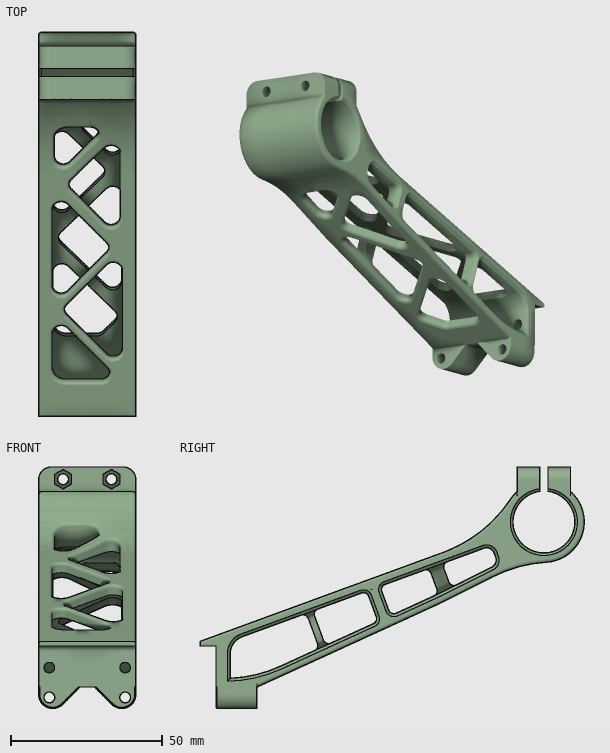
import cadquery as cq
import math


WIDTH = 32.25
HALF_WIDTH = WIDTH / 2
LENGTH = 127.21
HEIGHT = 80.02

RING_RADIUS = 13.4
BORE_RADIUS = 10.2
BORE_CHAMFER = 0.9
EAR_TOP = 18.25
EAR_BOTTOM = 8.8
EAR_HALF_DEPTH = 8.85
EAR_CORNER_RADIUS = 4.25
CLAMP_GAP = 2.6
SCREW_DIAMETER = 3.5
CLAMP_SCREW_X = 8.0
CLAMP_SCREW_Z = EAR_TOP - 4.1
NUT_CORNER_DIAMETER = 6.5
NUT_DEPTH = 2.5

TIP_Y = RING_RADIUS - LENGTH
TIP_TOP_Z = -39.5
TIP_BOTTOM_Z = -41.1
TOP_ANGLE = 20.1
BOTTOM_ANGLE = 24.6
BOTTOM_UPPER_ANGLE = 26.6
BOTTOM_BEND_Y = -34.9
BLEND_RADIUS = 45.0
EDGE_FILLET = 1.0

BLOCK_BACK_Y = -95.0
BLOCK_FACE_Y = -108.6
BLOCK_BOTTOM_Z = EAR_TOP - HEIGHT
ARM_BOTTOM_END_Z = -54.7
LOBE_RADIUS = 4.7
NOTCH_TOP_Z = -54.7
BLOCK_HOLE_X = 12.55
LOWER_HOLE_Z = -58.1
UPPER_HOLE_Z = -48.2
FACE_CHAMFER = 0.4

TOP_WALL = 3.4
BOTTOM_WALL = 3.1
CAVITY_HALF_WIDTH = 11.6
CAVITY_UPPER_END = 101.4
CAVITY_UPPER_RADIUS = 2.6
CAVITY_END_Y = -103.8
CAVITY_END_BOTTOM_Z = -51.7
CAVITY_CURVE_Y = -87.3
CAVITY_LOWER_RADIUS = 6.0
SIDE_WINDOW_RADIUS = 1.8
SIDE_WINDOW_CHAMFER = 1.0
PILLARS = {-1: [(36.2, 38.5), (79.5, 84.1)], 1: [(57.5, 62.2)]}

BAR_SLOPE = 1.06
WINDOW_RADIUS = 3.0
END_CORNER_RADIUS = 4.5
WINDOW_FILLET = 1.1
TOP_WINDOW_DEPTH = 4.4
BOTTOM_WINDOW_DEPTH = 4.5
TOP_BARS = [(91.7, 1, 2.1), (70.5, -1, 2.0), (48.1, 1, 1.3), (25.8, -1, 1.3)]
TOP_WINDOW_ENDS = (103.0, 11.8)
TOP_SIDES = [-10.9, 10.9, -11.6, 11.6, -11.6]
BOTTOM_BARS = [(80.4, -1, 2.2), (59.7, 1, 1.9), (31.5, -1, 1.9), (2.5, 1, 1.9)]
BOTTOM_WINDOW_ENDS = (89.8, 10.0)
BOTTOM_SIDES = [11.4, -11.4, 11.4, -11.4]
CUT_CLEARANCE = 25.0
SAME_PLACE = 0.01


def direction(angle):
    return cq.Vector(0, math.cos(math.radians(angle)), math.sin(math.radians(angle)))


TOP_ALONG = direction(TOP_ANGLE)
TOP_UP = direction(TOP_ANGLE + 90)
TOP_POINT = cq.Vector(0, TIP_Y, TIP_TOP_Z)
BOTTOM_ALONG = direction(BOTTOM_ANGLE)
BOTTOM_DOWN = direction(BOTTOM_ANGLE - 90)
BOTTOM_POINT = cq.Vector(0, BLOCK_BACK_Y, ARM_BOTTOM_END_Z)
BEND_ALONG = direction(BOTTOM_UPPER_ANGLE)
BEND_DOWN = direction(BOTTOM_UPPER_ANGLE - 90)
X_AXIS = cq.Vector(1, 0, 0)


def yz(point):
    return (point.y, point.z)


def at_y(point, along, y):
    """The point at a given Y on the sloping line through a point."""
    return point + along * ((y - point.y) / along.y)


BEND_POINT = at_y(BOTTOM_POINT, BOTTOM_ALONG, BOTTOM_BEND_Y)


def blend(point, along, outward, radius):
    """Contact points of the arc that blends the clamp ring into a straight wall surface."""
    wall_distance = point.dot(outward)
    reach = -math.sqrt((RING_RADIUS + radius) ** 2 - (wall_distance + radius) ** 2)
    center = along * reach + outward * (wall_distance + radius)
    on_wall = center - outward * radius
    on_ring = center.normalized() * RING_RADIUS
    middle = center + ((on_wall + on_ring) * 0.5 - center).normalized() * radius
    return on_wall, middle, on_ring


TOP_BLEND = blend(TOP_POINT, TOP_ALONG, TOP_UP, BLEND_RADIUS)
BOTTOM_BLEND = blend(BEND_POINT, BEND_ALONG, BEND_DOWN, BLEND_RADIUS)


def extruded(profile, half_width):
    return profile.extrude(half_width, both=True)


def make_arm():
    top_wall, top_middle, top_ring = TOP_BLEND
    bottom_wall, bottom_middle, bottom_ring = BOTTOM_BLEND
    beyond_tip = TOP_POINT - TOP_ALONG * EDGE_FILLET
    profile = (
        cq.Workplane("YZ")
        .moveTo(*yz(beyond_tip))
        .lineTo(*yz(top_wall))
        .threePointArc(yz(top_middle), yz(top_ring))
        .threePointArc((RING_RADIUS, 0), yz(bottom_ring))
        .threePointArc(yz(bottom_middle), yz(bottom_wall))
        .lineTo(*yz(BEND_POINT))
        .lineTo(BLOCK_BACK_Y, ARM_BOTTOM_END_Z)
        .lineTo(BLOCK_FACE_Y, ARM_BOTTOM_END_Z)
        .lineTo(BLOCK_FACE_Y, TIP_BOTTOM_Z)
        .lineTo(beyond_tip.y, TIP_BOTTOM_Z)
        .close()
    )
    arm = extruded(profile, HALF_WIDTH)
    outline = arm.faces("<X or >X").edges().filter(on_smooth_outline)
    arm = arm.newObject(outline.vals()).fillet(EDGE_FILLET)
    trim = cq.Workplane("XY").box(WIDTH, CUT_CLEARANCE, CUT_CLEARANCE)
    return arm.cut(trim.translate((0, TIP_Y - CUT_CLEARANCE / 2, TIP_TOP_Z)))


def on_smooth_outline(edge):
    """True for the top, clamp ring and lower edges, but not for the mounting end."""
    at = edge.positionAt(0.5)
    return at.y > BLOCK_BACK_Y and at.z > ARM_BOTTOM_END_Z


def make_block():
    lobe_x = HALF_WIDTH - LOBE_RADIUS
    lobe_z = BLOCK_BOTTOM_Z + LOBE_RADIUS
    diagonal = LOBE_RADIUS * math.sqrt(0.5)
    foot_x = lobe_x - diagonal
    foot_z = lobe_z - diagonal
    notch_x = foot_x - (NOTCH_TOP_Z - foot_z)
    outline = (
        cq.Workplane("XZ", origin=(0, BLOCK_FACE_Y, 0))
        .moveTo(0, TIP_BOTTOM_Z)
        .lineTo(HALF_WIDTH, TIP_BOTTOM_Z)
        .lineTo(HALF_WIDTH, lobe_z)
        .radiusArc((foot_x, foot_z), LOBE_RADIUS)
        .lineTo(notch_x, NOTCH_TOP_Z)
        .lineTo(0, NOTCH_TOP_Z)
        .mirrorY()
    )
    block = outline.extrude(BLOCK_FACE_Y - BLOCK_BACK_Y)
    block = block.faces("<Y").edges("not >Z").chamfer(FACE_CHAMFER)
    arm_side = (
        cq.Workplane("YZ")
        .moveTo(BLOCK_BACK_Y, BLOCK_BOTTOM_Z)
        .lineTo(BLOCK_BACK_Y, ARM_BOTTOM_END_Z)
        .lineTo(*yz(TOP_BLEND[0]))
        .lineTo(TIP_Y, TIP_TOP_Z)
        .lineTo(TIP_Y, BLOCK_BOTTOM_Z)
        .close()
    )
    return block.intersect(extruded(arm_side, HALF_WIDTH))


def make_ears():
    return (
        cq.Workplane("XY")
        .box(WIDTH, 2 * EAR_HALF_DEPTH, EAR_TOP - EAR_BOTTOM, centered=(True, True, False))
        .edges("|Y and >Z")
        .fillet(EAR_CORNER_RADIUS)
        .translate((0, 0, EAR_BOTTOM))
    )


def cut_clamp(body):
    bore = extruded(cq.Workplane("YZ").circle(BORE_RADIUS), HALF_WIDTH)
    body = body.cut(bore)
    for side in (-1, 1):
        cone = cq.Solid.makeCone(
            BORE_RADIUS + BORE_CHAMFER,
            BORE_RADIUS,
            BORE_CHAMFER,
            cq.Vector(side * HALF_WIDTH, 0, 0),
            cq.Vector(-side, 0, 0),
        )
        body = body.cut(cq.Workplane(cone))
    gap = cq.Workplane("XY").box(WIDTH, CLAMP_GAP, EAR_TOP, centered=(True, True, False))
    body = body.cut(gap)
    screws = [(-CLAMP_SCREW_X, CLAMP_SCREW_Z), (CLAMP_SCREW_X, CLAMP_SCREW_Z)]
    front = cq.Workplane("XZ", origin=(0, -EAR_HALF_DEPTH, 0)).pushPoints(screws)
    holes = front.circle(SCREW_DIAMETER / 2).extrude(-2 * EAR_HALF_DEPTH)
    body = body.cut(holes)
    for x, z in screws:
        nut = cq.Workplane("XZ", origin=(x, -EAR_HALF_DEPTH, z)).polygon(6, NUT_CORNER_DIAMETER)
        point_up = nut.extrude(-NUT_DEPTH).rotate((x, 0, z), (x, 1, z), 90)
        body = body.cut(point_up)
    return body


def make_cavity(start_x, end_x):
    """The space between the top and bottom walls, from one X to another."""
    roof = TOP_POINT - TOP_UP * TOP_WALL
    floor = BOTTOM_POINT - BOTTOM_DOWN * BOTTOM_WALL
    roof_upper = roof + TOP_ALONG * CAVITY_UPPER_END
    roof_lower = at_y(roof, TOP_ALONG, CAVITY_END_Y)
    floor_curve = at_y(floor, BOTTOM_ALONG, CAVITY_CURVE_Y)
    floor_bend = at_y(floor, BOTTOM_ALONG, BOTTOM_BEND_Y)
    to_end = (roof_upper - floor_bend).dot(TOP_ALONG) / BEND_ALONG.dot(TOP_ALONG)
    floor_upper = floor_bend + BEND_ALONG * to_end
    cavity = (
        cq.Workplane("YZ", origin=(start_x, 0, 0))
        .moveTo(*yz(roof_lower))
        .lineTo(*yz(roof_upper))
        .lineTo(*yz(floor_upper))
        .lineTo(*yz(floor_bend))
        .lineTo(*yz(floor_curve))
        .tangentArcPoint((CAVITY_END_Y, CAVITY_END_BOTTOM_Z), relative=False)
        .close()
        .extrude(end_x - start_x)
    )
    cavity = cavity.edges("|X").edges(">Y or >Z").fillet(CAVITY_UPPER_RADIUS)
    lower_corner = cq.selectors.NearestToPointSelector(((start_x + end_x) / 2, *yz(roof_lower)))
    return cavity.edges("|X").edges(lower_corner).fillet(CAVITY_LOWER_RADIUS)


def make_side_windows(side):
    """Openings of one side wall: the cavity carried out to the side face, less the pillars."""
    windows = make_cavity(0, side * HALF_WIDTH)
    for start, end in PILLARS[side]:
        plane = cq.Plane(TOP_POINT + TOP_ALONG * ((start + end) / 2), X_AXIS, TOP_UP)
        pillar = cq.Workplane(plane).box(WIDTH, end - start, 2 * CUT_CLEARANCE)
        windows = windows.cut(pillar)
    pillar_faces = [face for pillar in PILLARS[side] for face in pillar]

    def is_pillar_corner(edge):
        station = (edge.positionAt(0.5) - TOP_POINT).dot(TOP_ALONG)
        return any(abs(station - face) < SAME_PLACE for face in pillar_faces)

    corners = windows.edges("|X").filter(is_pillar_corner)
    return windows.newObject(corners.vals()).fillet(SIDE_WINDOW_RADIUS)


def cut_side_windows(body):
    for side in PILLARS:
        body = body.cut(make_side_windows(side))
    rims = body.faces("<X or >X").edges().filter(is_side_rim)
    return body.newObject(rims.vals()).chamfer(SIDE_WINDOW_CHAMFER)


def is_side_rim(edge):
    """True for the window edges on the side faces: those well inside the arm outline."""
    at = edge.positionAt(0.5)
    below_top = -(at - TOP_POINT).dot(TOP_UP)
    above_bottom = -(at - BOTTOM_POINT).dot(BOTTOM_DOWN)
    station = (at - TOP_POINT).dot(TOP_ALONG)
    return (
        below_top > TOP_WALL / 2
        and above_bottom > BOTTOM_WALL / 2
        and station < CAVITY_UPPER_END + SAME_PLACE
        and at.y > CAVITY_END_Y - SAME_PLACE
    )


def window_outlines(bars, ends, sides):
    """Corners (x, distance up the slope, radius) of each window that the bars separate."""
    stretch = math.hypot(1, BAR_SLOPE)
    floors = [(start + half * stretch, sense * BAR_SLOPE) for start, sense, half in bars]
    ceilings = [(start - half * stretch, sense * BAR_SLOPE) for start, sense, half in bars]
    floors = floors + [(ends[1], 0)]
    ceilings = [(ends[0], 0)] + ceilings
    outlines = []
    for ceiling, floor, side_x in zip(ceilings, floors, sides):
        apex_x = (ceiling[0] - floor[0]) / (floor[1] - ceiling[1])
        apex = (apex_x, floor[0] + floor[1] * apex_x, WINDOW_RADIUS)
        top_radius = WINDOW_RADIUS if ceiling[1] else END_CORNER_RADIUS
        side_top = (side_x, ceiling[0] + ceiling[1] * side_x, top_radius)
        side_bottom = (side_x, floor[0] + floor[1] * side_x, WINDOW_RADIUS)
        if floor[1] and side_bottom[1] > ends[1]:
            outlines.append([side_top, side_bottom, apex])
            continue
        side_end = (side_x, ends[1], END_CORNER_RADIUS)
        outline = [side_top, side_end]
        if floor[1]:
            outline.append(((ends[1] - floor[0]) / floor[1], ends[1], WINDOW_RADIUS))
        outlines.append(outline + [apex])
    return outlines


def make_windows(point, along, outward, outlines, depth):
    """Prisms that reach from a depth below the straight wall surface to well outside it."""
    base = point - outward * depth
    windows = []
    for outline in outlines:
        corners = [base + X_AXIS * x + along * distance for x, distance, radius in outline]
        face = cq.Face.makeFromWires(cq.Wire.makePolygon(corners, close=True))
        for corner, (x, distance, radius) in zip(corners, outline):
            vertex = min(face.Vertices(), key=lambda v: (v.Center() - corner).Length)
            face = face.fillet2D(radius, [vertex])
        windows.append(cq.Solid.extrudeLinear(face, outward * (depth + CUT_CLEARANCE)))
    return windows


def lies_on(edge, shape):
    points = [edge.positionAt(t) for t in (0, 0.5, 1)]
    return all(shape.distance(cq.Vertex.makeVertex(*at.toTuple())) < SAME_PLACE for at in points)


def cut_windows(body, windows):
    """Cut the windows and round the rims where they open on the outside of the body."""
    before = body.val()
    surface = before.Shells()[0]
    old_edges = cq.Compound.makeCompound(before.Edges())
    for window in windows:
        body = body.cut(cq.Workplane(window))
    rims = body.edges().filter(lambda edge: lies_on(edge, surface) and not lies_on(edge, old_edges))
    return body.newObject(rims.vals()).fillet(WINDOW_FILLET)


def drill_block(body):
    lower = [(-BLOCK_HOLE_X, LOWER_HOLE_Z), (BLOCK_HOLE_X, LOWER_HOLE_Z)]
    upper = [(-BLOCK_HOLE_X, UPPER_HOLE_Z), (BLOCK_HOLE_X, UPPER_HOLE_Z)]
    face = cq.Workplane("XZ", origin=(0, BLOCK_FACE_Y, 0))
    depth = BLOCK_BACK_Y - BLOCK_FACE_Y
    through = face.pushPoints(lower).circle(SCREW_DIAMETER / 2).extrude(-depth)
    into_cavity = face.pushPoints(upper).circle(SCREW_DIAMETER / 2).extrude(BLOCK_FACE_Y - CAVITY_END_Y)
    return body.cut(through).cut(into_cavity)


top_outlines = window_outlines(TOP_BARS, TOP_WINDOW_ENDS, TOP_SIDES)
top_windows = make_windows(TOP_POINT, TOP_ALONG, TOP_UP, top_outlines, TOP_WINDOW_DEPTH)
bottom_outlines = window_outlines(BOTTOM_BARS, BOTTOM_WINDOW_ENDS, BOTTOM_SIDES)
bottom_windows = make_windows(
    BOTTOM_POINT, BOTTOM_ALONG, BOTTOM_DOWN, bottom_outlines, BOTTOM_WINDOW_DEPTH
)

result = make_arm().union(make_block())
result = cut_windows(result, top_windows)
result = cut_windows(result, bottom_windows)
result = cut_clamp(result.union(make_ears()))
result = cut_side_windows(result)
result = result.cut(make_cavity(-CAVITY_HALF_WIDTH, CAVITY_HALF_WIDTH))
result = drill_block(result)